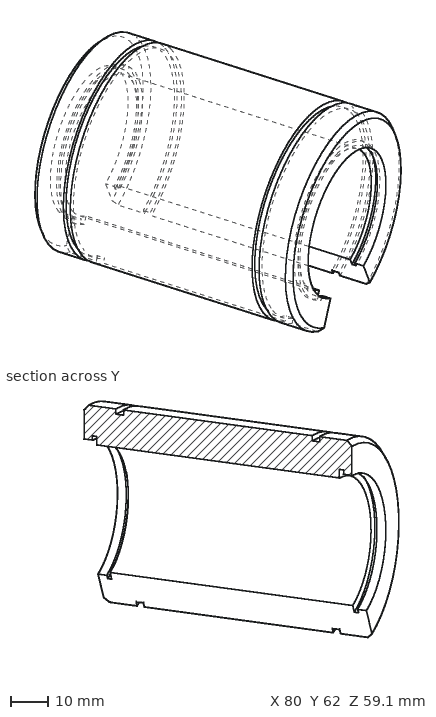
import cadquery as cq
import math

length = 80.0
outer_diameter = 62.0
bore_diameter = 40.0
end_chamfer = 1.5

groove_width = 2.2
groove_diameter = 59.0
groove_outer_spacing = 60.6

entry_diameter = 42.4
entry_length = 2.6
inner_groove_diameter = 44.8
inner_groove_width = 1.2

opening_angle = 50.0


def cylinder(diameter, start, depth):
    """Solid cylinder along +X starting at the given X position."""
    return cq.Workplane("YZ", origin=(start, 0, 0)).circle(diameter / 2).extrude(depth)


def ring_groove(start):
    return cylinder(outer_diameter, start, groove_width).cut(
        cylinder(groove_diameter, start, groove_width)
    )


def opening_wedge():
    """Wedge with its apex on the axis, reaching past the outer surface."""
    wedge_height = outer_diameter
    half_width = wedge_height * math.tan(math.radians(opening_angle / 2))
    return (
        cq.Workplane("YZ", origin=(-length / 2, 0, 0))
        .polyline([(0, 0), (half_width, -wedge_height), (-half_width, -wedge_height)])
        .close()
        .extrude(length)
    )


body = cylinder(outer_diameter, -length / 2, length).faces("<X or >X").chamfer(end_chamfer)
body = body.cut(cylinder(bore_diameter, -length / 2, length))

for groove_start in (-groove_outer_spacing / 2, groove_outer_spacing / 2 - groove_width):
    body = body.cut(ring_groove(groove_start))

inner_groove_end = entry_length + inner_groove_width
for entry_start in (-length / 2, length / 2 - entry_length):
    body = body.cut(cylinder(entry_diameter, entry_start, entry_length))
for inner_start in (-length / 2 + entry_length, length / 2 - inner_groove_end):
    body = body.cut(cylinder(inner_groove_diameter, inner_start, inner_groove_width))

result = body.cut(opening_wedge())